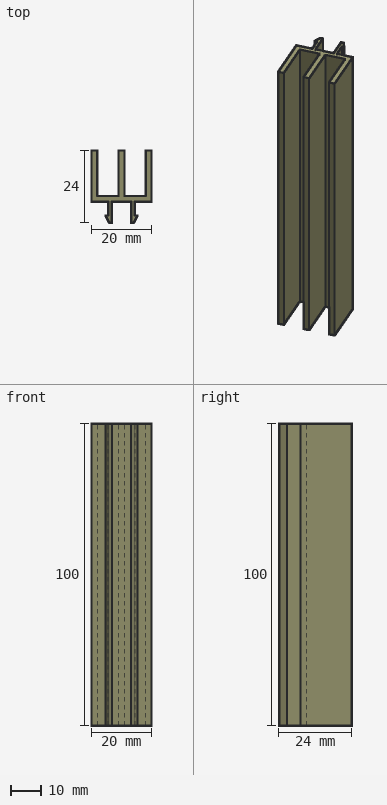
import cadquery as cq

width = 20.0
depth = 24.0
length = 100.0

wall = 2.0
channel_depth = 17.0

leg_inner = 3.2
leg_thickness = 1.2
barb_reach = 0.9
barb_drop = 4.5
tip_width = 0.9
tip_radius = 0.5

back_y = depth / 2
floor_y = back_y - channel_depth
tip_y = -depth / 2


def make_channel():
    """Floor with two outer walls and a central wall, open toward +Y."""
    channel = cq.Workplane("XY").rect(width, wall).extrude(length)
    channel = channel.translate((0, floor_y + wall / 2, 0))
    wall_offset = (width - wall) / 2
    for x in (-wall_offset, 0, wall_offset):
        partition = cq.Workplane("XY").rect(wall, channel_depth).extrude(length)
        channel = channel.union(partition.translate((x, floor_y + channel_depth / 2, 0)))
    return channel


def make_leg(side):
    """Leg with an outward barb and a rounded tip; side is -1 or 1."""
    leg_outer = leg_inner + leg_thickness
    root_y = floor_y + wall / 2
    barb_y = floor_y - barb_drop
    outline = [
        (leg_inner, root_y),
        (leg_outer, root_y),
        (leg_outer, barb_y),
        (leg_outer + barb_reach, barb_y),
        (leg_inner + tip_width, tip_y),
        (leg_inner, tip_y),
    ]
    points = [(side * x, y) for x, y in outline]
    leg = cq.Workplane("XY").polyline(points).close().extrude(length)
    tip_corner = (side * (leg_inner + tip_width), tip_y, length / 2)
    return leg.edges(cq.selectors.NearestToPointSelector(tip_corner)).fillet(tip_radius)


result = make_channel().union(make_leg(-1)).union(make_leg(1))
result = result.translate((0, 0, -length / 2))